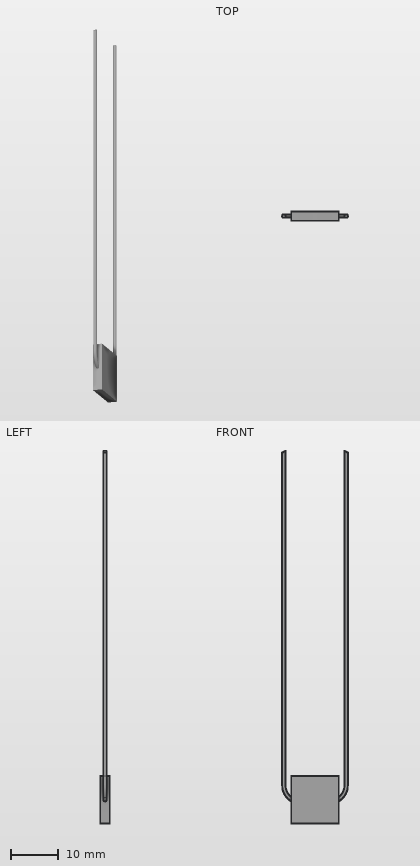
import cadquery as cq
import math

housing_side = 10.0
housing_thickness = 2.0

overall_width = 13.88
overall_height = 78.42
wire_diameter = 0.77
bend_radius = 3.6
bend_angle = math.radians(90)
bend_start_z = 8.05
tip_drop = 0.45
trim_allowance = 1.0

housing_half = housing_side / 2
wire_outer_x = overall_width / 2
wire_x = wire_outer_x - wire_diameter / 2
wire_inner_x = wire_x - wire_diameter / 2


def make_housing():
    return cq.Workplane("XY").box(
        housing_side, housing_thickness, housing_side, centered=(True, True, False)
    )


def bend_point(angle):
    """Point on the centreline of the bend, at an angle turned from the upright run."""
    return (
        wire_x - bend_radius * (1 - math.cos(angle)),
        bend_start_z - bend_radius * math.sin(angle),
    )


def make_right_lead():
    centreline = (
        cq.Workplane("XZ")
        .moveTo(wire_x, overall_height + trim_allowance)
        .lineTo(wire_x, bend_start_z)
        .threePointArc(bend_point(bend_angle / 2), bend_point(bend_angle))
    )
    wire = (
        cq.Workplane("XY", origin=(wire_x, 0, overall_height + trim_allowance))
        .circle(wire_diameter / 2)
        .sweep(centreline)
    )

    tip_slope = tip_drop / wire_diameter
    region_outer_x = wire_outer_x + trim_allowance
    trim_region = (
        cq.Workplane("XZ")
        .polyline([
            (housing_half, 0),
            (region_outer_x, 0),
            (region_outer_x, overall_height - tip_slope * (region_outer_x - wire_inner_x)),
            (housing_half, overall_height + tip_slope * (wire_inner_x - housing_half)),
        ])
        .close()
        .extrude(wire_diameter, both=True)
    )
    return wire.intersect(trim_region)


def make_lead(side):
    """Lead on the +X side (side = 1) or its mirror image on the -X side (side = -1)."""
    lead = make_right_lead()
    return lead if side > 0 else lead.mirror("YZ")


housing = make_housing()
leads = [make_lead(side) for side in (-1, 1)]

result = cq.Compound.makeCompound([housing.val(), *[lead.solids().val() for lead in leads]])